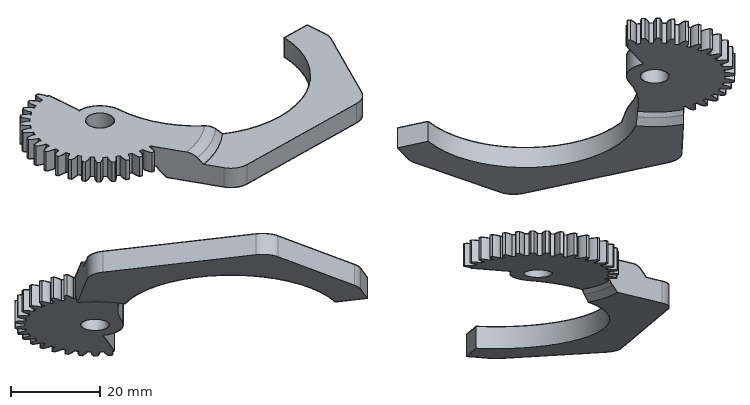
import cadquery as cq
import math

TOTAL_HEIGHT = 7.6
STEP = 2.5
PLATE_THICKNESS = TOTAL_HEIGHT - STEP

TEETH_IN_FULL_GEAR = 34
TEETH_EACH_SIDE = 8
TIP_RADIUS = 18.0
PRESSURE_ANGLE = math.radians(20)
MODULE = TIP_RADIUS / (TEETH_IN_FULL_GEAR / 2 + 1)
PITCH_RADIUS = MODULE * TEETH_IN_FULL_GEAR / 2
ROOT_RADIUS = PITCH_RADIUS - 1.25 * MODULE
BASE_RADIUS = PITCH_RADIUS * math.cos(PRESSURE_ANGLE)
TOOTH_PITCH_ANGLE = 360 / TEETH_IN_FULL_GEAR
ROOT_OVERLAP = 0.4

BOSS_RADIUS = 6.35
PIVOT_HOLE_DIAMETER = 6.4

HOOK_RADIUS = 25.4
HOOK_CENTER_Y = BOSS_RADIUS + HOOK_RADIUS
ARM_LEFT = 3.05
ARM_RIGHT = 34.15
ARM_END_Y = 82.5 - TIP_RADIUS
UPPER_SLOPE = math.radians(30)
UPPER_CORNER_X = 9.9
LOWER_SLOPE = math.radians(25.5)
LOWER_START_X = 16.0
CORNER_RADIUS = 5.0

TOP_STEP_INNER = 23.6
TOP_STEP_ROUND = 3.5
TOP_STEP_SLOPE = math.radians(45)
BOTTOM_STEP_INNER = 16.9
BOTTOM_STEP_BEND = (17.65, 1.5)
BOTTOM_STEP_OUTER = 19.1
PROFILE_RADIUS = 82.5


def involute_point(radius):
    """Half thickness and depth of a tooth pointing along -Y, at a given radius."""
    roll = math.acos(BASE_RADIUS / radius)
    pitch_half_angle = math.pi / (2 * TEETH_IN_FULL_GEAR)
    pitch_involute = math.tan(PRESSURE_ANGLE) - PRESSURE_ANGLE
    half_angle = pitch_half_angle + pitch_involute - (math.tan(roll) - roll)
    return radius * math.sin(half_angle), -radius * math.cos(half_angle)


def make_tooth():
    base_x, base_y = involute_point(BASE_RADIUS)
    pitch_x, pitch_y = involute_point(PITCH_RADIUS)
    tip_x, tip_y = involute_point(TIP_RADIUS)
    root_y = -(ROOT_RADIUS - ROOT_OVERLAP)
    return (
        cq.Workplane("XY", origin=(0, 0, STEP))
        .moveTo(-base_x, root_y)
        .lineTo(-base_x, base_y)
        .threePointArc((-pitch_x, pitch_y), (-tip_x, tip_y))
        .threePointArc((0, -TIP_RADIUS), (tip_x, tip_y))
        .threePointArc((pitch_x, pitch_y), (base_x, base_y))
        .lineTo(base_x, root_y)
        .close()
        .extrude(PLATE_THICKNESS)
    )


def make_gear_sector():
    sector = (
        cq.Workplane("XY", origin=(0, 0, STEP))
        .moveTo(-ROOT_RADIUS, 0)
        .threePointArc((0, -ROOT_RADIUS), (ROOT_RADIUS, 0))
        .close()
        .extrude(PLATE_THICKNESS)
    )
    tooth = make_tooth()
    for index in range(-TEETH_EACH_SIDE, TEETH_EACH_SIDE + 1):
        sector = sector.union(tooth.rotate((0, 0, 0), (0, 0, 1), index * TOOTH_PITCH_ANGLE))
    return sector


def make_arm():
    hook_end_y = HOOK_CENTER_Y + math.sqrt(HOOK_RADIUS**2 - ARM_LEFT**2)
    boss_diagonal = BOSS_RADIUS * math.sqrt(0.5)
    upper_right_y = ARM_END_Y - (ARM_RIGHT - UPPER_CORNER_X) * math.tan(UPPER_SLOPE)
    lower_right_y = (ARM_RIGHT - LOWER_START_X) * math.tan(LOWER_SLOPE)
    arm = (
        cq.Workplane("XY")
        .moveTo(-BOSS_RADIUS, 0)
        .threePointArc((-boss_diagonal, boss_diagonal), (0, BOSS_RADIUS))
        .threePointArc((HOOK_RADIUS, HOOK_CENTER_Y), (ARM_LEFT, hook_end_y))
        .lineTo(ARM_LEFT, ARM_END_Y)
        .lineTo(UPPER_CORNER_X, ARM_END_Y)
        .lineTo(ARM_RIGHT, upper_right_y)
        .lineTo(ARM_RIGHT, lower_right_y)
        .lineTo(LOWER_START_X, 0)
        .close()
        .extrude(TOTAL_HEIGHT)
    )
    outer_corners = [
        (UPPER_CORNER_X, ARM_END_Y),
        (ARM_RIGHT, upper_right_y),
        (ARM_RIGHT, lower_right_y),
    ]
    for x, y in outer_corners:
        corner = cq.selectors.NearestToPointSelector((x, y, TOTAL_HEIGHT / 2))
        arm = arm.edges("|Z").edges(corner).fillet(CORNER_RADIUS)
    return arm


def make_stepped_envelope():
    """Solid of revolution about the pivot that holds both plates and the step."""
    def round_point(angle):
        radius = TOP_STEP_INNER + TOP_STEP_ROUND * math.sin(angle)
        height = TOTAL_HEIGHT - TOP_STEP_ROUND * (1 - math.cos(angle))
        return radius, height

    slope_start = round_point(TOP_STEP_SLOPE)
    slope_run = (slope_start[1] - PLATE_THICKNESS) / math.tan(TOP_STEP_SLOPE)
    return (
        cq.Workplane("XZ")
        .moveTo(0, STEP)
        .lineTo(BOTTOM_STEP_INNER, STEP)
        .lineTo(*BOTTOM_STEP_BEND)
        .lineTo(BOTTOM_STEP_OUTER, 0)
        .lineTo(PROFILE_RADIUS, 0)
        .lineTo(PROFILE_RADIUS, PLATE_THICKNESS)
        .lineTo(slope_start[0] + slope_run, PLATE_THICKNESS)
        .lineTo(*slope_start)
        .threePointArc(round_point(TOP_STEP_SLOPE / 2), (TOP_STEP_INNER, TOTAL_HEIGHT))
        .lineTo(0, TOTAL_HEIGHT)
        .close()
        .revolve(360, (0, 0, 0), (0, 1, 0))
    )


pivot_hole = cq.Workplane("XY").circle(PIVOT_HOLE_DIAMETER / 2).extrude(TOTAL_HEIGHT)
stepped_arm = make_arm().intersect(make_stepped_envelope())
result = stepped_arm.union(make_gear_sector()).cut(pivot_hole)